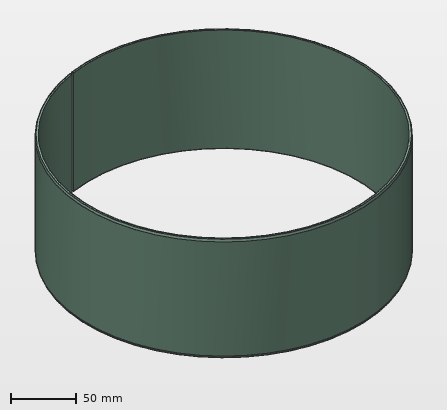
import cadquery as cq

outer_diameter = 290.0
height = 110.0
wall = 2.5
slit_width = 2.0

bevel_height = 2.0
bevel_depth = 0.72

outer_radius = outer_diameter / 2
inner_radius = outer_radius - wall
half_height = height / 2


def make_band():
    """Revolve the bevelled wall section into a full ring."""
    section = [
        (inner_radius, -half_height),
        (outer_radius - bevel_depth, -half_height),
        (outer_radius, -half_height + bevel_height),
        (outer_radius, half_height - bevel_height),
        (outer_radius - bevel_depth, half_height),
        (inner_radius, half_height),
    ]
    return cq.Workplane("XZ").polyline(section).close().revolve(360, (0, 0, 0), (0, 1, 0))


def make_slit():
    """Full-height cutter that opens the ring on its -X side, with one face on the XZ plane."""
    return cq.Workplane("XY").box(outer_radius, slit_width, height).translate((-outer_radius, slit_width / 2, 0))


result = make_band().cut(make_slit())